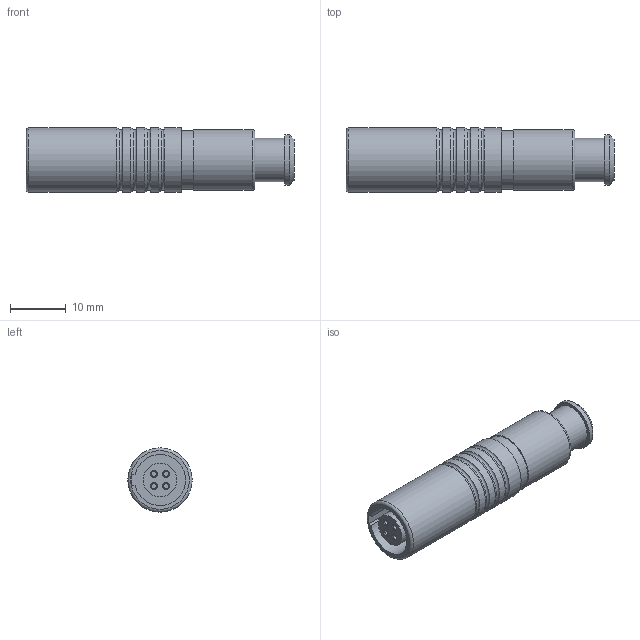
import cadquery as cq
import math

shell_radius = 5.75
shell_end = 27.8
shell_front_fillet = 0.5

groove_count = 4
groove_pitch = 2.5
first_groove_center = 16.95
groove_radius = 0.35
groove_flank_angle = math.radians(30)
groove_overcut = 1.0

relief_radius = 5.25
relief_end = 29.95
sleeve_radius = 5.45
sleeve_end = 41.0
sleeve_fillet = 0.5
cable_neck_radius = 3.9
flange_start = 46.35
flange_radius = 4.55
flange_chamfer = 0.85
total_length = 48.0

bore_radius = 4.57
bore_depth = 8.0
keyway_width = 1.9
keyway_reach = 5.05
insert_radius = 3.0
insert_recess = 0.35
contact_spacing = 2.18
contact_bore_radius = 0.45
contact_rim_fillet = 0.18
contact_depth = 5.0
rim_tolerance = 0.01


def cylinder(start, end, radius, y=0, z=0):
    """Solid cylinder parallel to X between two X positions."""
    return cq.Workplane("YZ", origin=(start, y, z)).circle(radius).extrude(end - start)


def make_groove(center):
    """Ring of material removed by one grip groove centred at the given X position."""
    flank_start = center - groove_radius / math.sin(groove_flank_angle)
    tangent_x = center - groove_radius * math.sin(groove_flank_angle)
    tangent_y = shell_radius - groove_radius * math.cos(groove_flank_angle)
    rear_edge = center + groove_radius
    profile = (
        cq.Workplane("XY")
        .moveTo(flank_start, shell_radius)
        .lineTo(tangent_x, tangent_y)
        .tangentArcPoint((rear_edge, shell_radius), relative=False)
        .lineTo(rear_edge, shell_radius + groove_overcut)
        .lineTo(flank_start, shell_radius + groove_overcut)
        .close()
    )
    return profile.revolve(360, (0, 0, 0), (1, 0, 0))


def make_shell():
    """Grooved front shell with a rounded mating edge."""
    shell = cylinder(0, shell_end, shell_radius).faces("<X").edges().fillet(shell_front_fillet)
    for index in range(groove_count):
        shell = shell.cut(make_groove(first_groove_center + index * groove_pitch))
    return shell


def make_rear():
    """Relief neck, sleeve, cable neck and chamfered end flange."""
    relief = cylinder(shell_end, relief_end, relief_radius)
    sleeve = cylinder(relief_end, sleeve_end, sleeve_radius).faces(">X").edges().fillet(sleeve_fillet)
    cable_neck = cylinder(sleeve_end, flange_start, cable_neck_radius)
    flange = cylinder(flange_start, total_length, flange_radius).faces(">X").edges().chamfer(flange_chamfer)
    return relief.union(sleeve).union(cable_neck).union(flange)


def make_socket():
    """Space inside the mating end: the bore and its keyway, around the contact insert."""
    bore = cylinder(0, bore_depth, bore_radius)
    keyway = cq.Workplane("XY").box(
        bore_depth, keyway_reach, keyway_width, centered=(False, False, True)
    )
    insert = cylinder(insert_recess, bore_depth, insert_radius)
    return bore.union(keyway).cut(insert)


def cut_contact_holes(body):
    """Cut a square pattern of round-rimmed contact holes into the insert face."""
    hole_end = insert_recess + contact_depth
    for y_side in (-1, 1):
        for z_side in (-1, 1):
            y = y_side * contact_spacing / 2
            z = z_side * contact_spacing / 2
            body = body.cut(cylinder(insert_recess, hole_end, contact_bore_radius, y, z))
    rims = cq.selectors.BoxSelector(
        (insert_recess - rim_tolerance, -contact_spacing, -contact_spacing),
        (insert_recess + rim_tolerance, contact_spacing, contact_spacing),
    )
    hole_rims = body.edges(rims).edges(cq.selectors.RadiusNthSelector(0))
    return hole_rims.fillet(contact_rim_fillet)


connector = make_shell().union(make_rear()).cut(make_socket())
result = cut_contact_holes(connector)